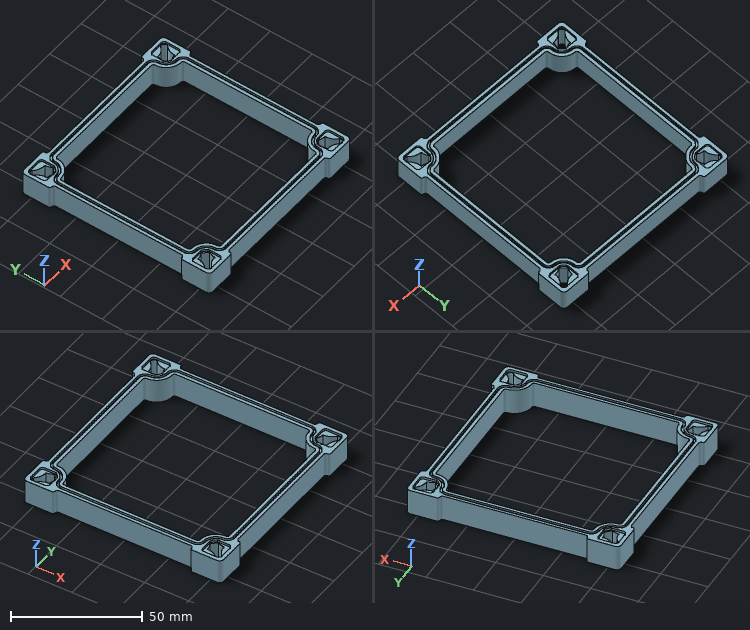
import cadquery as cq
import math

SIZE = 90.0
HEIGHT = 11.0
HALF = SIZE / 2

WALL_INSET = 2.0
WALL_THICKNESS = 4.0
OPENING_HALF = HALF - WALL_INSET - WALL_THICKNESS

PAD_LENGTH = 14.0
PAD_CORNER_RADIUS = 2.0
PAD_END_RADIUS = 1.0
PAD_ROOT_RADIUS = WALL_INSET - PAD_END_RADIUS

BOSS_INSET = 6.8
BOSS_CENTER = HALF - BOSS_INSET
BOSS_RADIUS = 7.2
BOSS_BLEND_RADIUS = 1.0

GROOVE_INNER_OFFSET = 1.5
GROOVE_WIDTH = 1.0
GROOVE_DEPTH = 1.0

RECESS_INSET = 6.0
RECESS_CENTER = HALF - RECESS_INSET
RECESS_SIDE = 8.6
RECESS_CORNER_RADIUS = 1.4
RECESS_TRIM_RADIUS = 4.9
RECESS_DEPTH = 1.0

LOBE_CENTER = 2.6
LOBE_RADIUS = 1.35
LOBE_EXIT = (3.9, 2.0)
FLANK_MIDDLE = (2.1, -0.3)
WAIST = (1.4, -3.15)
LIP_MIDDLE = (-0.2, -3.4)
LIP_END = (-1.7, -4.1)


def swapped(point):
    """Mirror a point about the corner diagonal."""
    return (point[1], point[0])


def at_corners(corner):
    """Repeat a solid made at the +X +Y corner at all four corners."""
    copies = cq.Workplane("XY")
    for quarter in range(4):
        copies = copies.add(corner.rotate((0, 0, 0), (0, 0, 1), 90 * quarter))
    return copies.combine()


def corner_pad():
    """Pad with a rounded outer corner and S-shaped blends into the walls."""
    root = HALF - PAD_LENGTH - PAD_ROOT_RADIUS
    end = HALF - PAD_LENGTH
    flat = end + PAD_END_RADIUS
    wall = HALF - WALL_INSET
    middle = wall + PAD_ROOT_RADIUS
    rounded = HALF - PAD_CORNER_RADIUS
    return (
        cq.Workplane("XY")
        .moveTo(root, root)
        .lineTo(root, wall)
        .radiusArc((end, middle), -PAD_ROOT_RADIUS)
        .radiusArc((flat, HALF), PAD_END_RADIUS)
        .lineTo(rounded, HALF)
        .radiusArc((HALF, rounded), PAD_CORNER_RADIUS)
        .lineTo(HALF, flat)
        .radiusArc((middle, end), PAD_END_RADIUS)
        .radiusArc((wall, root), -PAD_ROOT_RADIUS)
        .close()
        .extrude(HEIGHT)
    )


def opening():
    """Central opening, notched around the four bosses."""
    square = cq.Workplane("XY").rect(2 * OPENING_HALF, 2 * OPENING_HALF).extrude(HEIGHT)
    boss = cq.Workplane("XY").center(BOSS_CENTER, BOSS_CENTER).circle(BOSS_RADIUS).extrude(HEIGHT)
    return square.cut(at_corners(boss)).edges("|Z").fillet(BOSS_BLEND_RADIUS)


def grown_opening(core, offset):
    """The opening widened by an offset, as deep as the groove."""
    return core.faces(">Z").wires().toPending().offset2D(offset).extrude(-GROOVE_DEPTH, combine=False)


def seal_groove(core):
    outer = grown_opening(core, GROOVE_INNER_OFFSET + GROOVE_WIDTH)
    return outer.cut(grown_opening(core, GROOVE_INNER_OFFSET))


def corner_recess():
    """Shallow square recess whose innermost corner follows the boss wall."""
    half = RECESS_SIDE / 2
    trim_start = -math.sqrt(RECESS_TRIM_RADIUS**2 - half**2)
    recess = (
        cq.Workplane("XY", origin=(RECESS_CENTER, RECESS_CENTER, HEIGHT - RECESS_DEPTH))
        .moveTo(trim_start, -half)
        .radiusArc((-half, trim_start), RECESS_TRIM_RADIUS)
        .lineTo(-half, half)
        .lineTo(half, half)
        .lineTo(half, -half)
        .close()
        .extrude(RECESS_DEPTH)
    )
    return recess.edges("|Z").edges(">X or >Y").fillet(RECESS_CORNER_RADIUS)


def corner_hole():
    """Through hole: a narrow outer lobe widening toward the boss wall."""
    lobe_tip = LOBE_CENTER + LOBE_RADIUS / math.sqrt(2)
    return (
        cq.Workplane("XY", origin=(RECESS_CENTER, RECESS_CENTER, 0))
        .moveTo(*LOBE_EXIT)
        .threePointArc(FLANK_MIDDLE, WAIST)
        .threePointArc(LIP_MIDDLE, LIP_END)
        .lineTo(*swapped(LIP_END))
        .threePointArc(swapped(LIP_MIDDLE), swapped(WAIST))
        .threePointArc(swapped(FLANK_MIDDLE), swapped(LOBE_EXIT))
        .threePointArc((lobe_tip, lobe_tip), LOBE_EXIT)
        .close()
        .extrude(HEIGHT)
    )


wall_side = SIZE - 2 * WALL_INSET
frame = cq.Workplane("XY").rect(wall_side, wall_side).extrude(HEIGHT)
frame = frame.union(at_corners(corner_pad()))

core = opening()
frame = frame.cut(core).cut(seal_groove(core))

result = frame.cut(at_corners(corner_recess())).cut(at_corners(corner_hole()))